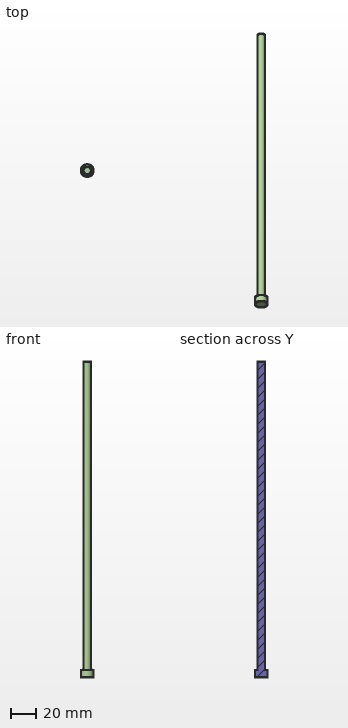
import cadquery as cq

total_length = 250.0
shaft_diameter = 6.0
head_diameter = 10.0
head_height = 6.0
head_chamfer = 0.2
neck_fillet_radius = 0.4

shaft_radius = shaft_diameter / 2

selection_margin = 0.1
neck_reach = shaft_radius + selection_margin


def chamfered_head():
    """Cylindrical head with both rims broken by a small chamfer."""
    head = cq.Workplane("XY").circle(head_diameter / 2).extrude(head_height)
    return head.edges("%CIRCLE").chamfer(head_chamfer)


def add_shaft(body):
    """Long plain shaft rising from the middle of the head to the full length."""
    shaft_length = total_length - head_height
    return body.faces(">Z").workplane().circle(shaft_radius).extrude(shaft_length)


def round_neck(body):
    """Fillet where the shaft meets the top of the head."""
    neck_edge = cq.selectors.BoxSelector(
        (-neck_reach, -neck_reach, head_height - selection_margin),
        (neck_reach, neck_reach, head_height + selection_margin),
        boundingbox=True,
    )
    return body.edges(neck_edge).fillet(neck_fillet_radius)


result = round_neck(add_shaft(chamfered_head()))